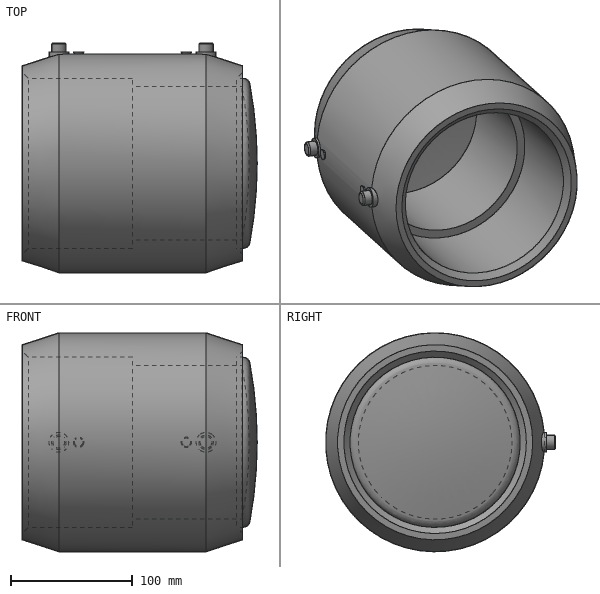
import cadquery as cq

sleeve_radius = 90.0
sleeve_length = 181.0
end_radius = 80.0
taper_length = 30.1
bore_radius = 69.9
bore_chamfer = 5.0

total_length = 193.0
plug_start = sleeve_length / 2
plug_inner_radius = 63.1
plug_wall = bore_radius - plug_inner_radius
plug_edge_radius = 5.8
dome_height = 7.0
dome_base = total_length - dome_height

terminal_top = 99.0
terminal_radius = 6.0
terminal_chamfer = 1.2
collar_radius = 8.1
collar_top = 91.5
fitting_root = sleeve_radius - 5.0
indicator_radius = 4.2
indicator_base_radius = 3.0
indicator_inset = 46.3
indicator_root = sleeve_radius - 0.8


def make_sleeve():
    """Tube with tapered ends and chamfered bore mouths."""
    mouth_radius = bore_radius + bore_chamfer
    profile = (
        cq.Workplane("XY")
        .moveTo(0, mouth_radius)
        .lineTo(0, end_radius)
        .lineTo(taper_length, sleeve_radius)
        .lineTo(sleeve_length - taper_length, sleeve_radius)
        .lineTo(sleeve_length, end_radius)
        .lineTo(sleeve_length, mouth_radius)
        .lineTo(sleeve_length - bore_chamfer, bore_radius)
        .lineTo(bore_chamfer, bore_radius)
        .close()
    )
    return profile.revolve(360, (0, 0, 0), (1, 0, 0))


def make_plug():
    """Hollow plug with a shallow spherical dome blended into its side by a fillet."""
    outer_dome = (bore_radius**2 + dome_height**2) / (2 * dome_height)
    inner_dome = outer_dome - plug_wall
    inner_apex = total_length - plug_wall
    dome_center = total_length - outer_dome
    inner_corner = dome_center + (inner_dome**2 - plug_inner_radius**2) ** 0.5
    outside = (
        cq.Workplane("XY")
        .moveTo(plug_start, 0)
        .lineTo(plug_start, bore_radius)
        .lineTo(dome_base, bore_radius)
        .radiusArc((total_length, 0), outer_dome)
        .close()
        .revolve(360, (0, 0, 0), (1, 0, 0))
    )
    outside = outside.faces("%CYLINDER").edges("%CIRCLE").edges(">X").fillet(plug_edge_radius)
    cavity = (
        cq.Workplane("XY")
        .moveTo(plug_start, 0)
        .lineTo(plug_start, plug_inner_radius)
        .lineTo(inner_corner, plug_inner_radius)
        .radiusArc((inner_apex, 0), inner_dome)
        .close()
        .revolve(360, (0, 0, 0), (1, 0, 0))
    )
    return outside.cut(cavity)


def make_terminal(x):
    """Stepped round pin standing on the sleeve."""
    profile = (
        cq.Workplane("XY")
        .moveTo(x, fitting_root)
        .lineTo(x + collar_radius, fitting_root)
        .lineTo(x + collar_radius, collar_top)
        .lineTo(x + terminal_radius, collar_top)
        .lineTo(x + terminal_radius, terminal_top - terminal_chamfer)
        .lineTo(x + terminal_radius - terminal_chamfer, terminal_top)
        .lineTo(x, terminal_top)
        .close()
    )
    return profile.revolve(360, (x, 0, 0), (x, 1, 0))


def make_indicator(x):
    """Low round button that widens towards its top."""
    profile = (
        cq.Workplane("XY")
        .moveTo(x, indicator_root)
        .lineTo(x + indicator_base_radius, indicator_root)
        .lineTo(x + indicator_radius, collar_top)
        .lineTo(x, collar_top)
        .close()
    )
    return profile.revolve(360, (x, 0, 0), (x, 1, 0))


result = make_sleeve().union(make_plug())
for terminal_x in (taper_length, sleeve_length - taper_length):
    result = result.union(make_terminal(terminal_x))
for indicator_x in (indicator_inset, sleeve_length - indicator_inset):
    result = result.union(make_indicator(indicator_x))